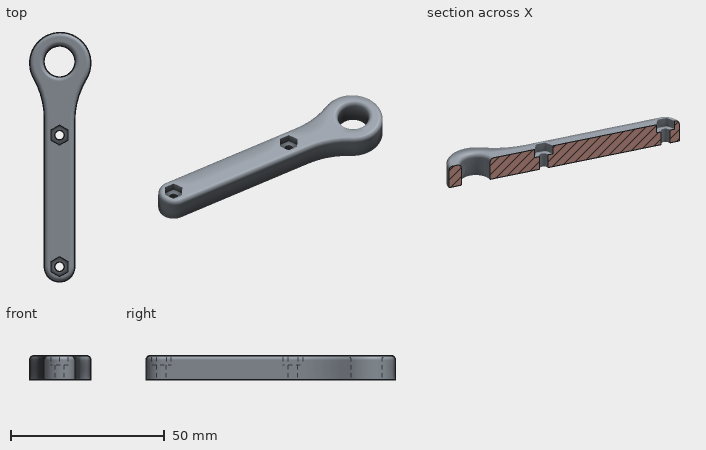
import cadquery as cq
import math

length = 81.3
thickness = 8.0
edge_radius = 1.505

handle_radius = 10.0 / 2
head_radius = 20.0 / 2
head_x = 0.25
head_y = length - handle_radius - head_radius
neck_radius = 26.4

bore_diameter = 10.0
bore_y = 66.8
bolt_diameter = 3.0
bolt_spacing = 42.85
nut_across_flats = 5.6
nut_depth = 3.0


def neck_points(side):
    """Handle tangent point, arc midpoint and head tangent point of one concave neck."""
    centre_x = side * (handle_radius + neck_radius)
    offset_x = centre_x - head_x
    centre_y = head_y - math.sqrt((head_radius + neck_radius) ** 2 - offset_x**2)
    end_angle = math.atan2(head_y - centre_y, abs(offset_x))

    def arc_point(angle):
        return (
            centre_x - side * neck_radius * math.cos(angle),
            centre_y + neck_radius * math.sin(angle),
        )

    return [arc_point(angle) for angle in (0, end_angle / 2, end_angle)]


def lever_body():
    """Lever with a round head, tangent necks and a rounded top edge."""
    right_start, right_mid, right_end = neck_points(1)
    left_start, left_mid, left_end = neck_points(-1)
    return (
        cq.Workplane("XY")
        .moveTo(handle_radius, 0)
        .lineTo(*right_start)
        .threePointArc(right_mid, right_end)
        .threePointArc((head_x, head_y + head_radius), left_end)
        .threePointArc(left_mid, left_start)
        .lineTo(-handle_radius, 0)
        .threePointArc((0, -handle_radius), (handle_radius, 0))
        .close()
        .extrude(thickness)
    )


def bolt_cutter(y):
    """Through hole with a hexagonal nut pocket whose corners point along Y."""
    hole = cq.Workplane("XY").center(0, y).circle(bolt_diameter / 2).extrude(thickness)
    pocket = (
        cq.Workplane("XY", origin=(0, y, thickness - nut_depth))
        .transformed(rotate=(0, 0, 90))
        .polygon(6, nut_across_flats / math.cos(math.pi / 6))
        .extrude(nut_depth)
    )
    return hole.union(pocket)


bore = cq.Workplane("XY").center(0, bore_y).circle(bore_diameter / 2).extrude(thickness)
result = lever_body().cut(bore).faces(">Z").edges().fillet(edge_radius)

for bolt_y in (0, bolt_spacing):
    result = result.cut(bolt_cutter(bolt_y))